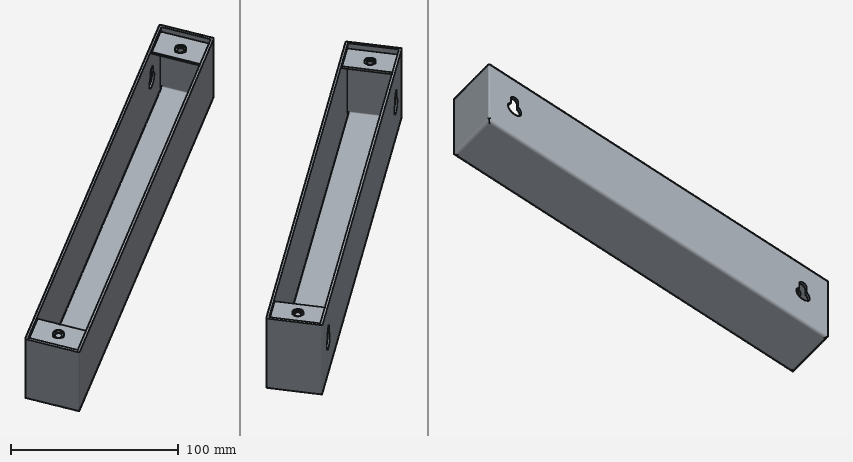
import cadquery as cq

length = 259.2
width = 34.2
height = 55.6
wall = 1.6
floor_bend = 2.4
floor_inner_bend = floor_bend - wall
corner_radius = 1.0

keyhole_spacing = 220.0
keyhole_head_diameter = 10.0
keyhole_head_z = 26.5
keyhole_neck_width = 5.5
keyhole_neck_z = 35.6

sheet = 1.6
bracket_bend = 2.4
bracket_inner_bend = bracket_bend - sheet
tab_drop = 2.8
tab_reach = 19.7
screw_inset = 12.1
screw_recess_diameter = 6.8
screw_recess_depth = 1.0
screw_hole_diameter = 4.2

inner_width = width - 2 * wall
inner_length = length - 2 * wall
bracket_floor_width = inner_width - 2 * floor_inner_bend
tab_top = height - tab_drop
tab_gap = length - 2 * tab_reach


def block(size_x, size_y, bottom, top):
    """Box centred on the Z axis between two heights."""
    return (
        cq.Workplane("XY", origin=(0, 0, bottom))
        .box(size_x, size_y, top - bottom, centered=(True, True, False))
    )


def make_keyhole(y):
    """Cutter through the -X wall: round head with a narrower slot above it."""
    plane = cq.Workplane("YZ", origin=(-width / 2, y, 0))
    head = plane.center(0, keyhole_head_z).circle(keyhole_head_diameter / 2).extrude(wall)
    neck_length = keyhole_neck_z - keyhole_head_z + keyhole_neck_width
    neck = (
        plane.center(0, (keyhole_head_z + keyhole_neck_z) / 2)
        .slot2D(neck_length, keyhole_neck_width, 90)
        .extrude(wall)
    )
    return head.union(neck)


def make_tray():
    bent = block(width, length, 0, height).edges("<Z").fillet(floor_bend)
    rounded = block(width, length, 0, height).edges("|Z").fillet(corner_radius)
    cavity = block(inner_width, inner_length, wall, height).edges("<Z").fillet(floor_inner_bend)
    tray = bent.intersect(rounded).cut(cavity)
    for side in (-1, 1):
        tray = tray.cut(make_keyhole(side * keyhole_spacing / 2))
    return tray


def make_screw_hole(y):
    """Cutter through a tab: clear hole with a round recess on top."""
    top = cq.Workplane("XY", origin=(0, y, tab_top))
    hole = top.circle(screw_hole_diameter / 2).extrude(-sheet)
    recess = top.circle(screw_recess_diameter / 2).extrude(-screw_recess_depth)
    return hole.union(recess)


def make_bracket():
    floor_top = wall + sheet
    outside = block(inner_width, inner_length, wall, tab_top)
    outside = outside.edges("|X").fillet(bracket_bend)
    inside = block(inner_width, inner_length - 2 * sheet, floor_top, tab_top - sheet)
    inside = inside.edges("|X").fillet(bracket_inner_bend)
    bracket = outside.cut(inside)
    bracket = bracket.cut(block(inner_width, tab_gap, floor_top, tab_top))

    floor_layer = block(inner_width, inner_length, wall, floor_top)
    floor_strip = block(bracket_floor_width, inner_length, wall, floor_top)
    bracket = bracket.cut(floor_layer.cut(floor_strip))

    for side in (-1, 1):
        bracket = bracket.cut(make_screw_hole(side * (length / 2 - screw_inset)))
    return bracket


tray = make_tray()
bracket = make_bracket()
result = cq.Compound.makeCompound([tray.val(), bracket.val()])